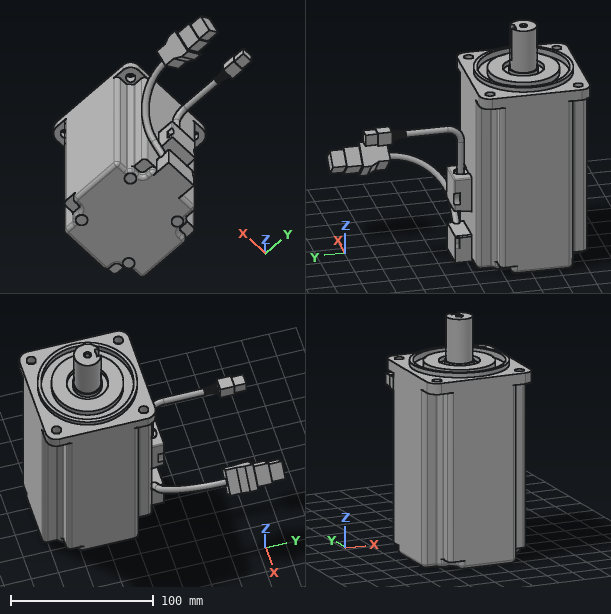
import cadquery as cq
import math

total_height = 173.3
frame_width = 80.0
frame_half = frame_width / 2
rear_face = 0.3
embed = 1.7

face_half_width = 26.3
relief_bevel = 30.0
outer_edge_radius = 3.3
inner_edge_radius = 1.0
rear_edge_radius = 3.0

pocket_top = 6.8
pocket_depth = 10.4
pocket_far_wall = 18.0
pocket_inner_radius = 3.6
pocket_outer_radius = 3.6
pocket_relief_radius = 2.6
pocket_relief_edge = relief_bevel + face_half_width - (frame_half - pocket_depth)

rear_screw_spacing = 47.5
rear_screw_diameter = 8.3

flange_bottom = 130.1
flange_top = 138.1
flange_corner_radius = 7.8
bolt_spacing = 63.6
bolt_hole_diameter = 6.5

pilot_top = 141.4
pilot_diameter = 70.0
groove_outer_diameter = 65.0
groove_floor = 136.7
boss_diameter = 50.6
boss_top = 141.0
bore_diameter = 29.1
bore_floor = 137.8
collar_diameter = 20.6
shaft_diameter = 19.0
centre_hole_diameter = 3.5
centre_countersink_diameter = 5.2
centre_hole_depth = 13.9
countersink_angle = 90
keyway_width = 6.0
keyway_floor = 6.0
keyway_bottom = 147.7

outlet_half_width = 11.8
outlet_outer_y = 52.9
outlet_top = 65.3
outlet_bottom_outer = 40.9
outlet_bottom_inner = 39.2
outlet_edge_radius = 0.9
clip_inner_y = 48.4
clip_bottom = 45.5
clip_top = 54.5
clip_depth = 1.7
arch_half_width = 4.9
arch_depth = 1.0

cap_left = -11.3
cap_right = 14.2
cap_outer_y = 51.8
cap_top = 20.6
cap_top_chamfer = 1.0
cap_notch_inner_y = 48.9
cap_notch_top = 19.5
cap_notch_slope_top = 14.9
cap_notch_bottom = 11.6
cap_notch_depth = 1.0

cable_diameter = 5.2
cable_y = 45.4

small_cable_z = 98.8
small_bend_radius = 9.7
small_cable_end = 85.3
wire_diameter = 1.0
wire_start_offset = 0.7
wire_end_offset = 2.5
small_plug_start = 95.7
small_plug_step = 106.0
small_plug_end = 114.9
small_plug_rear_width = 9.7
small_plug_front_width = 8.3

large_plug_x = 51.1
large_plug_z = 58.4
large_plug_width = 18.7
large_plug_thin = 13.0
large_plug_turn = 45
large_plug_start = 86.3
large_plug_taper_start = 94.5
large_plug_taper_end = 100.2
large_plug_first_step = 106.2
large_plug_second_step = 117.3
large_plug_end = 127.2
large_plug_second_width = 14.9
large_plug_third_width = 12.8


def box(x_range, y_range, z_range):
    size = [high - low for low, high in (x_range, y_range, z_range)]
    corner = (x_range[0], y_range[0], z_range[0])
    return cq.Workplane("XY").box(*size, centered=False).translate(corner)


def disc(diameter, bottom, top):
    return cq.Workplane("XY").workplane(offset=bottom).circle(diameter / 2).extrude(top - bottom)


def rod(start, end, diameter):
    axis = cq.Vector(*end) - cq.Vector(*start)
    return cq.Workplane(cq.Solid.makeCylinder(diameter / 2, axis.Length, cq.Vector(*start), axis))


def fillet_upright_edge(body, x, y, radius):
    reach = 0.2
    low = (x - reach, y - reach, 0)
    high = (x + reach, y + reach, flange_bottom)
    return body.edges("|Z").edges(cq.selectors.BoxSelector(low, high)).fillet(radius)


def quarter_turns(x, y):
    return [(x, y), (-y, x), (-x, -y), (y, -x)]


def housing():
    corner = [
        (frame_half, face_half_width),
        (relief_bevel, face_half_width),
        (face_half_width, relief_bevel),
        (face_half_width, frame_half),
    ]
    turned = [quarter_turns(x, y) for x, y in corner]
    outline = [points[quarter] for quarter in range(4) for points in turned]
    body = (
        cq.Workplane("XY")
        .workplane(offset=rear_face)
        .polyline(outline)
        .close()
        .extrude(flange_bottom - rear_face)
    )
    for x, y in outline:
        on_outside = max(abs(x), abs(y)) == frame_half
        radius = outer_edge_radius if on_outside else inner_edge_radius
        body = fillet_upright_edge(body, x, y, radius)

    pocket = box(
        (-frame_half, -pocket_far_wall),
        (-frame_half - embed, pocket_depth - frame_half),
        (rear_face, pocket_top),
    )
    pocket = pocket.edges("|Z and >X and >Y").fillet(pocket_inner_radius)
    for quarter in range(4):
        body = body.cut(pocket.rotate((0, 0, 0), (0, 0, 1), 90 * quarter))
    for x, y in quarter_turns(-pocket_far_wall, -frame_half):
        body = fillet_upright_edge(body, x, y, pocket_outer_radius)
    for x, y in quarter_turns(-pocket_relief_edge, pocket_depth - frame_half):
        body = fillet_upright_edge(body, x, y, pocket_relief_radius)
    return body.faces("<Z").edges().fillet(rear_edge_radius)


def rear_screws():
    return (
        cq.Workplane("XY")
        .rect(rear_screw_spacing, rear_screw_spacing, forConstruction=True)
        .vertices()
        .circle(rear_screw_diameter / 2)
        .extrude(rear_face + embed)
    )


def flange():
    plate = (
        cq.Workplane("XY")
        .workplane(offset=flange_bottom)
        .rect(frame_width, frame_width)
        .extrude(flange_top - flange_bottom)
        .edges("|Z")
        .fillet(flange_corner_radius)
    )
    plate = plate.union(disc(pilot_diameter, flange_top, pilot_top))
    plate = plate.cut(disc(groove_outer_diameter, groove_floor, pilot_top))
    plate = plate.union(disc(boss_diameter, groove_floor, boss_top))
    plate = plate.cut(disc(bore_diameter, bore_floor, boss_top))
    holes = (
        cq.Workplane("XY")
        .workplane(offset=flange_bottom)
        .rect(bolt_spacing, bolt_spacing, forConstruction=True)
        .vertices()
        .circle(bolt_hole_diameter / 2)
        .extrude(flange_top - flange_bottom)
    )
    return plate.cut(holes)


def shaft():
    body = disc(shaft_diameter, bore_floor - embed, total_height)
    body = body.union(disc(collar_diameter, bore_floor - embed, boss_top))
    body = body.faces(">Z").workplane().cskHole(
        centre_hole_diameter, centre_countersink_diameter, countersink_angle, centre_hole_depth
    )
    tip_depth = centre_hole_diameter / 2
    tip_z = total_height - centre_hole_depth - tip_depth
    tip = cq.Solid.makeCone(0, centre_hole_diameter / 2, tip_depth, cq.Vector(0, 0, tip_z))
    body = body.cut(cq.Workplane(tip))
    half = keyway_width / 2
    keyway = (
        cq.Workplane("XZ", origin=(0, keyway_floor, 0))
        .moveTo(-half, total_height)
        .lineTo(-half, keyway_bottom + half)
        .threePointArc((0, keyway_bottom), (half, keyway_bottom + half))
        .lineTo(half, total_height)
        .close()
        .extrude(-shaft_diameter)
    )
    return body.cut(keyway)


def upper_outlet():
    inner_y = frame_half - embed
    side = [
        (inner_y, outlet_top),
        (outlet_outer_y, outlet_top),
        (outlet_outer_y, outlet_bottom_outer),
        (frame_half, outlet_bottom_inner),
        (inner_y, outlet_bottom_inner),
    ]
    block = cq.Workplane("YZ").polyline(side).close().extrude(outlet_half_width, both=True)
    block = block.edges("|Z and >Y").fillet(outlet_edge_radius)
    block = block.faces(">Z").edges("not <Y").fillet(outlet_edge_radius)
    clip_middle = (clip_bottom + clip_top) / 2
    for direction in (-1, 1):
        side_x = direction * outlet_half_width
        clip = (
            cq.Workplane("XZ", origin=(0, clip_inner_y, 0))
            .moveTo(side_x, clip_bottom)
            .threePointArc((side_x - direction * clip_depth, clip_middle), (side_x, clip_top))
            .close()
            .extrude(clip_inner_y - outlet_outer_y)
        )
        block = block.cut(clip)
    arch = (
        cq.Workplane("XY")
        .workplane(offset=outlet_top - arch_depth)
        .moveTo(-arch_half_width, frame_half)
        .lineTo(-arch_half_width, cable_y)
        .threePointArc((0, cable_y + arch_half_width), (arch_half_width, cable_y))
        .lineTo(arch_half_width, frame_half)
        .close()
        .extrude(arch_depth)
    )
    return block.cut(arch)


def lower_outlet():
    inner_y = frame_half - rear_edge_radius - embed
    block = box((cap_left, cap_right), (inner_y, cap_outer_y), (rear_face, cap_top))
    block = block.faces(">Z").edges("<X or >X").chamfer(cap_top_chamfer)
    notch = (
        cq.Workplane("XZ", origin=(0, cap_notch_inner_y, 0))
        .moveTo(cap_left, cap_notch_bottom)
        .lineTo(cap_left + cap_notch_depth, cap_notch_slope_top)
        .lineTo(cap_left + cap_notch_depth, cap_notch_top)
        .lineTo(cap_left, cap_notch_top)
        .close()
        .extrude(cap_notch_inner_y - cap_outer_y)
    )
    return block.cut(notch)


def small_cable():
    bend_y = cable_y + small_bend_radius
    bend_z = small_cable_z - small_bend_radius
    mid = small_bend_radius * math.sqrt(0.5)
    path = (
        cq.Workplane("YZ")
        .moveTo(cable_y, outlet_top - arch_depth - embed)
        .lineTo(cable_y, bend_z)
        .threePointArc((bend_y - mid, bend_z + mid), (bend_y, small_cable_z))
        .lineTo(small_cable_end, small_cable_z)
    )
    start = (0, cable_y, outlet_top - arch_depth - embed)
    cable = cq.Workplane("XY", origin=start).circle(cable_diameter / 2).sweep(path)
    for side in (-1, 1):
        for level in (-1, 1):
            near = wire_start_offset
            far = wire_end_offset
            start = (side * near, small_cable_end - embed / 2, small_cable_z + level * near)
            end = (side * far, small_plug_start + embed / 2, small_cable_z + level * far)
            cable = cable.union(rod(start, end, wire_diameter))
    return cable


def small_plug():
    plug = (
        cq.Workplane("XZ", origin=(0, small_plug_start, small_cable_z))
        .rect(small_plug_rear_width, small_plug_rear_width)
        .extrude(small_plug_start - small_plug_step)
    )
    tip = (
        cq.Workplane("XZ", origin=(0, small_plug_step, small_cable_z))
        .rect(small_plug_front_width, small_plug_front_width)
        .extrude(small_plug_step - small_plug_end)
    )
    return plug.union(tip)


def large_cable():
    bend_radius = large_plug_start - cable_y
    diagonal = cq.Plane(
        origin=(large_plug_x, cable_y, large_plug_z), xDir=(1, 0, 1), normal=(-1, 0, 1)
    )
    length = (large_plug_x - cap_right + 2 * embed) * math.sqrt(2)
    mid = bend_radius * math.sqrt(0.5)
    path = (
        cq.Workplane(diagonal)
        .moveTo(-length, 0)
        .lineTo(-bend_radius, 0)
        .threePointArc((mid - bend_radius, bend_radius - mid), (0, bend_radius))
    )
    start = diagonal.toWorldCoords((-length, 0, 0))
    profile = cq.Plane(origin=start, xDir=(0, 1, 0), normal=(1, 0, 1))
    return cq.Workplane(profile).circle(cable_diameter / 2).sweep(path)


def large_plug():
    wide = large_plug_width / 2
    thin = large_plug_thin / 2
    half_outline = [
        (large_plug_start, thin),
        (large_plug_taper_start, thin),
        (large_plug_taper_end, wide),
        (large_plug_first_step, wide),
    ]
    outline = half_outline + [(y, -z) for y, z in reversed(half_outline)]
    plug = cq.Workplane("YZ").polyline(outline).close().extrude(wide, both=True)
    steps = [
        (large_plug_second_width, large_plug_first_step, large_plug_second_step),
        (large_plug_third_width, large_plug_second_step, large_plug_end),
    ]
    for width, start, end in steps:
        plug = plug.union(
            cq.Workplane("XZ", origin=(0, start, 0)).rect(width, width).extrude(start - end)
        )
    return plug.rotate((0, 0, 0), (0, 1, 0), large_plug_turn).translate((large_plug_x, 0, large_plug_z))


result = housing()
for piece in (
    rear_screws(),
    flange(),
    shaft(),
    upper_outlet(),
    lower_outlet(),
    small_cable(),
    small_plug(),
    large_cable(),
    large_plug(),
):
    result = result.union(piece)